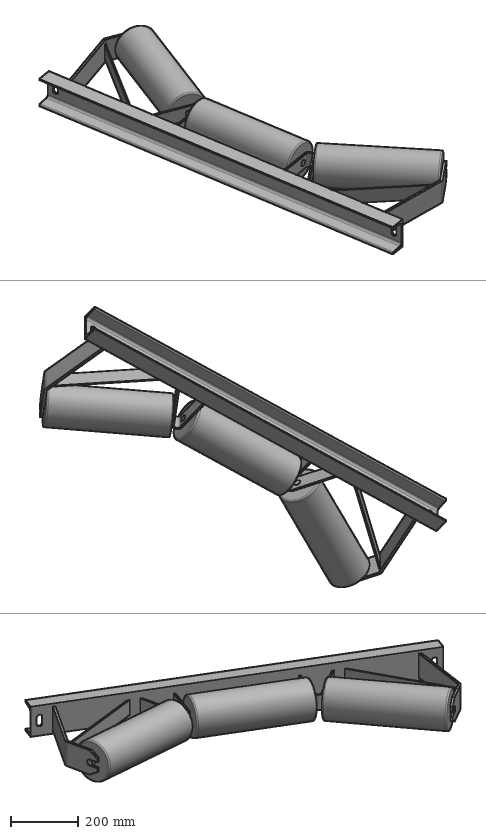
import cadquery as cq
import math


BASE_LENGTH = 1300.0
CHANNEL_HEIGHT = 100.0
CHANNEL_WIDTH = 50.0
WEB_THICKNESS = 6.0
FLANGE_MEAN_THICKNESS = 8.5
FLANGE_SLOPE = 0.08
ROOT_RADIUS = 8.5
TOE_RADIUS = 4.5
SLOT_END_DISTANCE = 28.0
SLOT_WIDTH = 18.0
SLOT_LENGTH = 38.0

ROLLER_DIAMETER = 133.0
ROLLER_LENGTH = 380.0
ROLLER_EDGE_RADIUS = 5.0
AXLE_DIAMETER = 20.0
ROLLER_GAP = 4.0
TROUGH_ANGLE = 30.0
CENTRE_ROLLER_Y = 117.5
WING_ROLLER_X = 399.5
WING_ROLLER_Y = 224.77

INNER_WIDTH = 50.0
INNER_THICKNESS = 6.0
INNER_BEND_RADIUS = 16.0

OUTER_WIDTH = 80.0
OUTER_THICKNESS = 8.0
OUTER_BEND_RADIUS = 16.0
OUTER_KNEE_DROP = 97.0
OUTER_LEG_ANGLE = 10.0
OUTER_TIP_RISE = 29.0
TIP_CHAMFER_ACROSS = 17.0
TIP_CHAMFER_ALONG = 29.0

BRACE_WIDTH = 50.0
BRACE_THICKNESS = 5.0
BRACE_FOOT_X = 342.5

COS_TROUGH = math.cos(math.radians(TROUGH_ANGLE))
SIN_TROUGH = math.sin(math.radians(TROUGH_ANGLE))
PLATE_FACE = ROLLER_LENGTH / 2 + ROLLER_GAP


def wing_point(along, up):
    """XY point measured from the middle of the +X wing roller, along its axis and square to it."""
    x = WING_ROLLER_X + along * COS_TROUGH - up * SIN_TROUGH
    y = WING_ROLLER_Y + along * SIN_TROUGH + up * COS_TROUGH
    return (x, y)


def place_on_wing(body):
    """Move a body built about a roller centred on the origin to the +X wing roller."""
    tilted = body.rotate((0, 0, 0), (0, 0, 1), TROUGH_ANGLE)
    return tilted.translate((WING_ROLLER_X, WING_ROLLER_Y, 0))


def centred_sketch(width):
    """XY workplane from which an extrusion of `width` is centred on Z = 0."""
    return cq.Workplane("XY", origin=(0, 0, -width / 2))


def edge_pair(y, z):
    """Selector for the lengthwise edges at (y, z) and (y, -z)."""
    return (
        cq.selectors.NearestToPointSelector((0, y, z))
        + cq.selectors.NearestToPointSelector((0, y, -z))
    )


def make_channel():
    half_height = CHANNEL_HEIGHT / 2
    middle = CHANNEL_WIDTH / 2
    root_z = half_height - FLANGE_MEAN_THICKNESS - FLANGE_SLOPE * (middle - WEB_THICKNESS)
    toe_z = half_height - FLANGE_MEAN_THICKNESS + FLANGE_SLOPE * middle
    body = (
        cq.Workplane("YZ", origin=(-BASE_LENGTH / 2, 0, 0))
        .polyline([
            (0, -half_height), (0, half_height),
            (-CHANNEL_WIDTH, half_height), (-CHANNEL_WIDTH, toe_z), (-WEB_THICKNESS, root_z),
            (-WEB_THICKNESS, -root_z), (-CHANNEL_WIDTH, -toe_z), (-CHANNEL_WIDTH, -half_height),
        ])
        .close().extrude(BASE_LENGTH)
    )
    body = body.edges(edge_pair(-WEB_THICKNESS, root_z)).fillet(ROOT_RADIUS)
    body = body.edges(edge_pair(-CHANNEL_WIDTH, toe_z)).fillet(TOE_RADIUS)
    slot_x = BASE_LENGTH / 2 - SLOT_END_DISTANCE
    slots = (
        cq.Workplane("XZ").pushPoints([(-slot_x, 0), (slot_x, 0)])
        .slot2D(SLOT_LENGTH, SLOT_WIDTH, 90).extrude(WEB_THICKNESS)
    )
    return body.cut(slots)


def make_roller(start_plate, end_plate):
    """Roller along X about the origin, its axle passing through plates of the given thicknesses."""
    shell = (
        cq.Workplane("YZ", origin=(-ROLLER_LENGTH / 2, 0, 0))
        .circle(ROLLER_DIAMETER / 2).extrude(ROLLER_LENGTH)
        .edges("%CIRCLE").fillet(ROLLER_EDGE_RADIUS)
    )
    axle = (
        cq.Workplane("YZ", origin=(-PLATE_FACE - start_plate, 0, 0))
        .circle(AXLE_DIAMETER / 2).extrude(start_plate + 2 * PLATE_FACE + end_plate)
    )
    return shell.union(axle)


def make_centre_roller():
    return make_roller(INNER_THICKNESS, INNER_THICKNESS).translate((0, CENTRE_ROLLER_Y, 0))


def make_wing_roller():
    return place_on_wing(make_roller(INNER_THICKNESS, OUTER_THICKNESS))


def make_inner_bracket(centre_roller, wing_roller):
    bend_x = PLATE_FACE + INNER_BEND_RADIUS
    bend_along = -PLATE_FACE - INNER_BEND_RADIUS
    bend_y = WING_ROLLER_Y + (bend_along - (bend_x - WING_ROLLER_X) * COS_TROUGH) / SIN_TROUGH

    def on_bend(radius, angle):
        turn = math.radians(angle)
        return (bend_x + radius * math.cos(turn), bend_y + radius * math.sin(turn))

    def wing_foot(radius):
        tangent = on_bend(radius, TROUGH_ANGLE)
        return (tangent[0] + tangent[1] * SIN_TROUGH / COS_TROUGH, 0)

    outside = INNER_BEND_RADIUS
    inside = INNER_BEND_RADIUS - INNER_THICKNESS
    body = (
        centred_sketch(INNER_WIDTH)
        .moveTo(bend_x - outside, 0)
        .lineTo(*on_bend(outside, 180))
        .threePointArc(on_bend(outside, 90), on_bend(outside, TROUGH_ANGLE))
        .lineTo(*wing_foot(outside))
        .lineTo(*wing_foot(inside))
        .lineTo(*on_bend(inside, TROUGH_ANGLE))
        .threePointArc(on_bend(inside, 90), on_bend(inside, 180))
        .lineTo(bend_x - inside, 0)
        .close().extrude(INNER_WIDTH)
    )
    return body.cut(centre_roller).cut(wing_roller)


def outer_knee(depth):
    """Sharp knee corner of the bracket layer lying `depth` inside the outer face."""
    bend = math.radians(TROUGH_ANGLE + OUTER_LEG_ANGLE)
    return wing_point(PLATE_FACE + OUTER_THICKNESS - depth, depth * math.tan(bend / 2) - OUTER_KNEE_DROP)


def leg_foot(knee):
    return (knee[0] - knee[1] * math.tan(math.radians(OUTER_LEG_ANGLE)), 0)


def make_tip_corner(side):
    """Cutter for the sloping corner of the plate tip at Z side +1 or -1."""
    edge = side * OUTER_WIDTH / 2
    corner = (
        cq.Workplane("YZ", origin=(PLATE_FACE, 0, 0))
        .polyline([
            (OUTER_TIP_RISE, edge),
            (OUTER_TIP_RISE, edge - side * TIP_CHAMFER_ACROSS),
            (OUTER_TIP_RISE - TIP_CHAMFER_ALONG, edge),
        ])
        .close().extrude(OUTER_THICKNESS)
    )
    return place_on_wing(corner)


def make_axle_slot():
    """Cutter for the round-bottomed slot that lets the axle drop in from the plate tip."""
    seat = cq.Workplane("YZ", origin=(PLATE_FACE, 0, 0)).circle(AXLE_DIAMETER / 2).extrude(OUTER_THICKNESS)
    neck = (
        cq.Workplane("YZ", origin=(PLATE_FACE, OUTER_TIP_RISE / 2, 0))
        .rect(OUTER_TIP_RISE, AXLE_DIAMETER).extrude(OUTER_THICKNESS)
    )
    return place_on_wing(seat.union(neck))


def make_outer_bracket():
    inside_knee = outer_knee(OUTER_THICKNESS)
    outside_knee = outer_knee(0)
    body = (
        centred_sketch(OUTER_WIDTH)
        .polyline([
            wing_point(PLATE_FACE, OUTER_TIP_RISE), inside_knee, leg_foot(inside_knee),
            leg_foot(outside_knee), outside_knee, wing_point(PLATE_FACE + OUTER_THICKNESS, OUTER_TIP_RISE),
        ])
        .close().extrude(OUTER_WIDTH)
    )
    bends = [(inside_knee, OUTER_BEND_RADIUS - OUTER_THICKNESS), (outside_knee, OUTER_BEND_RADIUS)]
    for knee, radius in bends:
        body = body.edges(cq.selectors.NearestToPointSelector((*knee, 0))).fillet(radius)
    for side in (-1, 1):
        body = body.cut(make_tip_corner(side))
    return body.cut(make_axle_slot())


def make_brace(outer_bracket):
    head = outer_knee(OUTER_THICKNESS / 2)
    lift = math.atan2(head[1], head[0] - BRACE_FOOT_X)
    foot_half = BRACE_THICKNESS / 2 / math.sin(lift)
    across_x = BRACE_THICKNESS / 2 * math.sin(lift)
    across_y = BRACE_THICKNESS / 2 * math.cos(lift)
    bar = (
        centred_sketch(BRACE_WIDTH)
        .polyline([
            (BRACE_FOOT_X - foot_half, 0), (BRACE_FOOT_X + foot_half, 0),
            (head[0] + across_x, head[1] - across_y), (head[0] - across_x, head[1] + across_y),
        ])
        .close().extrude(BRACE_WIDTH)
    )
    return bar.cut(outer_bracket)


channel = make_channel()
centre_roller = make_centre_roller()
wing_roller = make_wing_roller()
inner_bracket = make_inner_bracket(centre_roller, wing_roller)
outer_bracket = make_outer_bracket()
brace = make_brace(outer_bracket)

bodies = [channel.solids().val(), centre_roller.solids().val()]
for body in (wing_roller, inner_bracket, outer_bracket, brace):
    bodies.append(body.solids().val())
    bodies.append(body.mirror("YZ").solids().val())

result = cq.Compound.makeCompound(bodies)